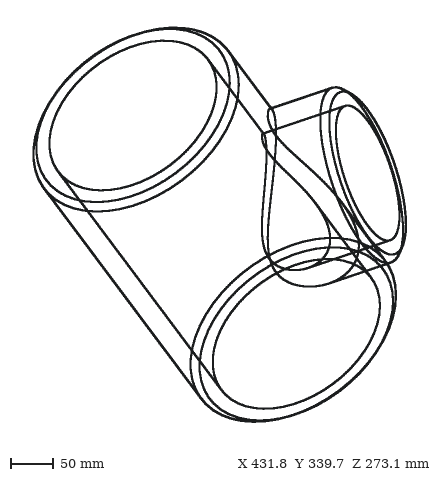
import cadquery as cq

run_length = 431.8
run_diameter = 273.05
wall = 25.4
branch_diameter = 219.075
branch_reach = 203.2
bevel_length = 8.0
bevel_depth = 8.0

run_bore = run_diameter - 2 * wall
branch_bore = branch_diameter - 2 * wall


def run_cylinder(diameter):
    """Cylinder along X, centred on the origin."""
    return cq.Workplane("YZ").circle(diameter / 2).extrude(run_length / 2, both=True)


def branch_cylinder(diameter):
    """Cylinder along +Y from the run axis to the branch end."""
    return cq.Workplane("XZ").circle(diameter / 2).extrude(-branch_reach)


def bevel(body, end_faces):
    """Weld bevel around the outer edge of the selected end faces."""
    return body.faces(end_faces).chamfer(bevel_length, bevel_depth)


run_body = bevel(run_cylinder(run_diameter), "|X")
branch_body = bevel(branch_cylinder(branch_diameter), ">Y")

result = (
    run_body.union(branch_body)
    .cut(run_cylinder(run_bore))
    .cut(branch_cylinder(branch_bore))
)